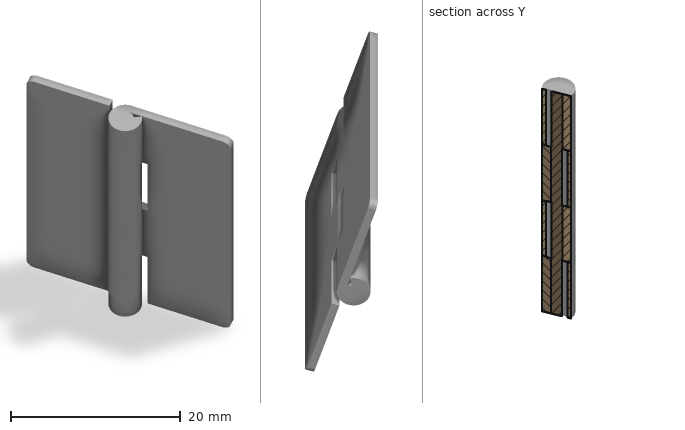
import cadquery as cq
import math

height = 35.0
width = 26.0
barrel_radius = 2.0
slot_clearance = 0.42
corner_radius = 1.0
curl_end_angle = 28.0
knuckle_count = 4

pin_radius = barrel_radius / 2
plate_thickness = barrel_radius - pin_radius
knuckle_height = height / knuckle_count
half_width = width / 2
slot_edge = barrel_radius + slot_clearance


def make_plate():
    """Flat plate on the +X side, with its two outer corners rounded."""
    plate_width = half_width - slot_edge
    return (
        cq.Workplane("XY")
        .box(plate_width, plate_thickness, height, centered=False)
        .translate((slot_edge, pin_radius, -height / 2))
        .edges("|Y and >X")
        .fillet(corner_radius)
    )


def make_knuckle(base_z):
    """Strip that leaves the plate edge and curls around the pin to a free end."""
    end = math.radians(curl_end_angle)
    end_x = math.cos(end)
    end_y = math.sin(end)
    middle = math.radians((90 + 360 + curl_end_angle) / 2)
    middle_x = math.cos(middle)
    middle_y = math.sin(middle)
    return (
        cq.Workplane("XY")
        .workplane(offset=base_z)
        .moveTo(slot_edge, barrel_radius)
        .lineTo(0, barrel_radius)
        .threePointArc(
            (barrel_radius * middle_x, barrel_radius * middle_y),
            (barrel_radius * end_x, barrel_radius * end_y),
        )
        .lineTo(pin_radius * end_x, pin_radius * end_y)
        .threePointArc((pin_radius * middle_x, pin_radius * middle_y), (0, pin_radius))
        .lineTo(slot_edge, pin_radius)
        .close()
        .extrude(knuckle_height)
    )


def make_leaf():
    """Plate with a knuckle at every second position, starting second from the bottom."""
    leaf = make_plate()
    for position in range(1, knuckle_count, 2):
        leaf = leaf.union(make_knuckle(-height / 2 + position * knuckle_height))
    return leaf


def make_pin():
    """Plain pin, flush with both ends of the barrel."""
    return cq.Workplane("XY").circle(pin_radius).extrude(height / 2, both=True)


leaves = []
for turn in (0, 180):
    leaves.append(make_leaf().rotate((0, 0, 0), (0, 1, 0), turn).solids().val())

pin = make_pin()

result = cq.Compound.makeCompound([*leaves, pin.val()])